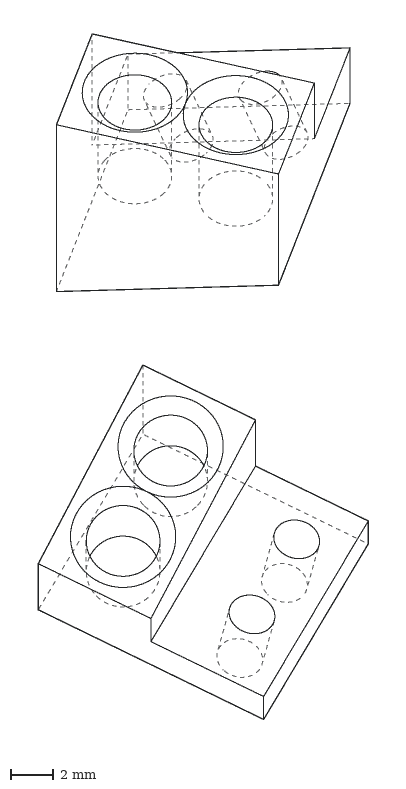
import cadquery as cq
import math

length_x = 11.0
width_y = 12.0
height_z = 12.0
slope_rise = 4.0
slope_angle = math.atan2(slope_rise, length_x)

block_depth_y = 6.0
flange_height = 4.0

holes_per_row = 2

screw_diameter = 2.2
screw_spacing = 5.0
first_screw_x = 2.59
screw_y = 9.5
screw_cut_length = 4 * flange_height

socket_diameter = 3.5
socket_mouth_diameter = 5.0
countersink_depth = 0.7
socket_depth = 6.0
socket_spacing = 5.0
first_socket_x = 3.0
socket_y = block_depth_y / 2


def profile_prism(outline, start_y, depth_y):
    """Extrude an outline in X and Z toward +Y."""
    return cq.Workplane("XZ", origin=(0, start_y, 0)).polyline(outline).close().extrude(-depth_y)


def make_block():
    outline = [(0, 0), (length_x, slope_rise), (length_x, height_z), (0, height_z)]
    return profile_prism(outline, 0, block_depth_y)


def make_flange():
    outline = [
        (0, 0),
        (length_x, slope_rise),
        (length_x, slope_rise + flange_height),
        (0, flange_height),
    ]
    return profile_prism(outline, block_depth_y, width_y - block_depth_y)


def make_screw_cutter(index):
    """Cylinder square to the slope, centered on the flange's top face."""
    along_slope = index * screw_spacing
    x = first_screw_x + along_slope * math.cos(slope_angle)
    z = flange_height + x * slope_rise / length_x
    normal = cq.Vector(-slope_rise, 0, length_x).normalized()
    start = cq.Vector(x, screw_y, z) - normal * (screw_cut_length / 2)
    return cq.Solid.makeCylinder(screw_diameter / 2, screw_cut_length, start, normal)


def make_socket_cutter(index):
    """Blind bore with a conical mouth, sunk from the top face."""
    half_section = [
        (0, 0),
        (socket_mouth_diameter / 2, 0),
        (socket_diameter / 2, -countersink_depth),
        (socket_diameter / 2, -socket_depth),
        (0, -socket_depth),
    ]
    cutter = cq.Workplane("XZ").polyline(half_section).close().revolve(360, (0, 0), (0, 1))
    return cutter.translate((first_socket_x + index * socket_spacing, socket_y, height_z))


result = make_block().union(make_flange())
for hole_index in range(holes_per_row):
    result = result.cut(cq.Workplane(make_screw_cutter(hole_index)))
    result = result.cut(make_socket_cutter(hole_index))